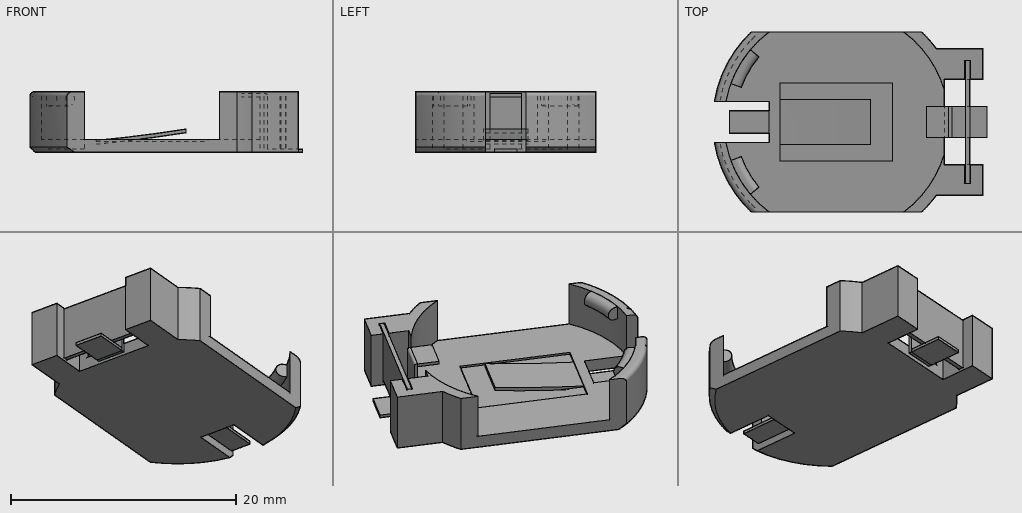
import cadquery as cq
import math

half_width = 8.0
height = 5.4
floor_height = 1.16
outer_radius = 11.0
inner_radius = 10.0
bottom_chamfer = 0.48
rim_fillet = 0.44
front_slot_half_width = 1.82
front_slot_end = 4.87
center_x = math.sqrt(outer_radius**2 - front_slot_half_width**2)

arm_outer_y = 6.52
arm_inner_y = 3.78
arm_start = 20.45
arm_end = 23.85

recess_start = 5.82
recess_end = 15.84
recess_half_width = 3.47
recess_depth = 0.2

sheet = 0.3
tab_start = 1.33
tab_half_width = 1.02
leaf_end = 13.9
leaf_half_width = 2.0
leaf_thickness = 0.35
leaf_root_z = 1.07
leaf_middle_x = 10.91
leaf_middle_z = 1.65
leaf_tip_z = 2.09

terminal_half_width = 1.38
shelf_start = 18.87
upright_start = 20.83
upright_top = 5.21
upright_fillet = 0.15
foot_end = 24.25
upright_end = upright_start + sheet

plate_center_x = 22.5
plate_thickness = 0.4
plate_slot_width = 0.53
plate_half_length = 5.48

bead_start_angle = 20.0
bead_sweep = 20.0
bead_depth = 1.0
bead_radius = 0.63


def box(x_start, x_end, half_y, z_start, z_end):
    """Block symmetric about the XZ plane."""
    return cq.Workplane("XY").box(
        x_end - x_start, 2 * half_y, z_end - z_start, centered=(False, True, False)
    ).translate((x_start, 0, z_start))


def disc(radius, z_start, z_end):
    """Cylinder about the vertical axis of the tray."""
    base = cq.Workplane("XY", origin=(center_x, 0, z_start))
    return base.circle(radius).extrude(z_end - z_start)


def make_front_body():
    """Round body with a chamfered bottom and filleted rim, kept only ahead of the tray axis."""
    body = disc(outer_radius, 0, height)
    body = body.faces("<Z").edges().chamfer(bottom_chamfer)
    body = body.faces(">Z").edges().fillet(rim_fillet)
    return body.intersect(box(center_x - outer_radius, center_x, half_width, 0, height))


def make_rear_body():
    """Plain round body behind the tray axis, with two arms reaching back."""
    body = disc(outer_radius, 0, height)
    body = body.intersect(box(center_x, arm_start, half_width, 0, height))
    arms = box(center_x, arm_end, arm_outer_y, 0, height)
    arms = arms.cut(box(arm_start, arm_end, arm_inner_y, 0, height))
    return body.union(arms)


def make_leaf():
    """Spring leaf curving up from the recess."""
    leaf = (
        cq.Workplane("XZ", origin=(0, leaf_half_width, 0))
        .moveTo(recess_start, leaf_root_z)
        .threePointArc((leaf_middle_x, leaf_middle_z), (leaf_end, leaf_tip_z))
        .lineTo(leaf_end, leaf_tip_z - leaf_thickness)
        .threePointArc(
            (leaf_middle_x, leaf_middle_z - leaf_thickness),
            (recess_start, leaf_root_z - leaf_thickness),
        )
        .close()
        .extrude(2 * leaf_half_width)
    )
    return leaf


def make_housing(leaf):
    body = make_front_body().union(make_rear_body())
    body = body.cut(disc(inner_radius, floor_height, height))
    body = body.cut(box(center_x - outer_radius, front_slot_end, front_slot_half_width, 0, height))
    body = body.cut(box(recess_start, recess_end, recess_half_width, floor_height - recess_depth, floor_height))
    plate_slot = box(
        plate_center_x - plate_slot_width / 2, plate_center_x + plate_slot_width / 2,
        plate_half_length, sheet, height,
    )
    return body.cut(plate_slot).cut(leaf)


def make_bead(start_angle):
    """Bead with a flat top and a half-round nose, swept about the tray axis."""
    nose_start = inner_radius - bead_depth + bead_radius
    profile = (
        cq.Workplane("XZ")
        .moveTo(-inner_radius, height)
        .lineTo(-nose_start, height)
        .threePointArc(
            (bead_radius - nose_start, height - bead_radius),
            (-nose_start, height - 2 * bead_radius),
        )
        .lineTo(-inner_radius, height - 2 * bead_radius)
        .close()
    )
    bead = profile.revolve(bead_sweep, (0, 0, 0), (0, 1, 0))
    return bead.rotate((0, 0, 0), (0, 0, 1), start_angle).translate((center_x, 0, 0))


def make_upright():
    upright = box(upright_start, upright_end, terminal_half_width, 0, upright_top)
    return upright.faces(">X").edges(">Z").fillet(upright_fillet)


leaf = make_leaf()
housing = make_housing(leaf)
beads = [make_bead(angle) for angle in (bead_start_angle, -bead_start_angle - bead_sweep)]
front_tab = box(tab_start, front_slot_end, tab_half_width, 0, sheet)
shelf = box(shelf_start, upright_start, terminal_half_width, upright_top - sheet, upright_top)
upright = make_upright()
foot = box(upright_end, foot_end, terminal_half_width, 0, sheet)
cross_plate = box(
    plate_center_x - plate_thickness / 2, plate_center_x + plate_thickness / 2,
    plate_half_length, sheet, height,
)

result = cq.Compound.makeCompound([
    housing.val(),
    *[bead.val() for bead in beads],
    leaf.val(),
    front_tab.val(),
    shelf.val(),
    upright.val(),
    foot.val(),
    cross_plate.val(),
])